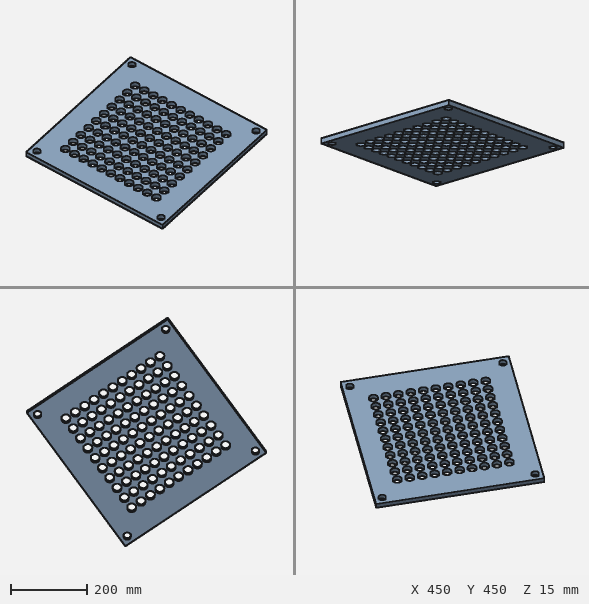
import cadquery as cq

plate_side = 450.0
plate_thickness = 15.0

field_span = 300.0
field_columns = 11
field_rows = 10
field_hole_diameter = 24.0
field_center = (-0.5, -2.5)
column_pitch = field_span / (field_columns - 1)
row_pitch = field_span / (field_rows - 1)

mounting_hole_diameter = 20.0
mounting_hole_inset = 20.2
mounting_spacing = plate_side - 2 * mounting_hole_inset


def drill_grid(body, x_pitch, y_pitch, columns, rows, diameter, center=(0, 0)):
    """Drill a grid of through holes from the top face, centred on the given XY point."""
    return (
        body.faces(">Z")
        .workplane(origin=center)
        .rarray(x_pitch, y_pitch, columns, rows)
        .hole(diameter)
    )


plate = cq.Workplane("XY").box(plate_side, plate_side, plate_thickness)
perforated_plate = drill_grid(
    plate, column_pitch, row_pitch, field_columns, field_rows, field_hole_diameter, field_center
)
result = drill_grid(
    perforated_plate, mounting_spacing, mounting_spacing, 2, 2, mounting_hole_diameter
)